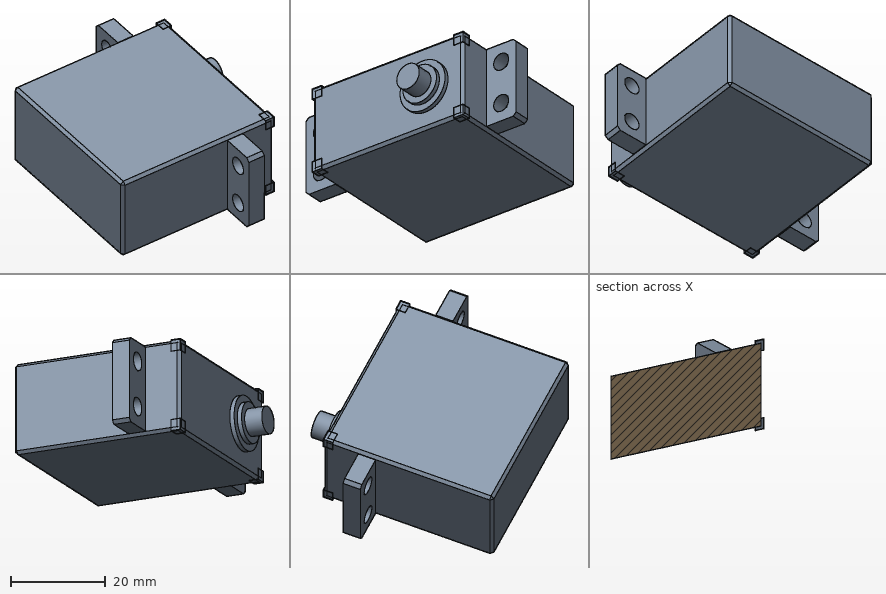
import cadquery as cq

CASE_X = 40.0
CASE_Y = 39.0
CASE_Z = 20.0
CASE_CHAMFER = 0.7
CASE_BACK = CASE_Y / 2

SPAN_X = 56.0
EAR_GAP = 0.1
EAR_LENGTH = (SPAN_X - CASE_X) / 2 - EAR_GAP
EAR_THICKNESS = 4.0
EAR_HEIGHT = 18.7
EAR_SETBACK = 8.0
EAR_Y = CASE_BACK - EAR_SETBACK - EAR_THICKNESS / 2
EAR_CHAMFER = 0.8
EAR_HOLE_DIAMETER = 4.0
EAR_HOLE_SPACING_X = 48.0
EAR_HOLE_SPACING_Z = 10.0

CAP_THICKNESS = 0.1
CAP_X = 2.5
CAP_Y = 2.2
CAP_Z = 2.5

SHAFT_X = -10.0
SHAFT_DIAMETER = 6.0
SHAFT_LENGTH = 6.05
STEP_LENGTH = 1.0
LARGE_STEP_DIAMETER = 12.0
SMALL_STEP_DIAMETER = 8.95


def case_box():
    """Case envelope before its edges are chamfered."""
    return cq.Workplane("XY").box(CASE_X, CASE_Y, CASE_Z)


def make_corner_caps():
    """Four corner blocks, hollowed by the square case envelope."""
    center_x = CASE_X / 2 + CAP_THICKNESS - CAP_X / 2
    center_y = CASE_BACK + CAP_THICKNESS - CAP_Y / 2
    center_z = CASE_Z / 2 + CAP_THICKNESS - CAP_Z / 2
    blocks = (
        cq.Workplane("XZ", origin=(0, center_y, 0))
        .rarray(2 * center_x, 2 * center_z, 2, 2)
        .box(CAP_X, CAP_Z, CAP_Y)
    )
    return blocks.cut(case_box())


def make_output():
    """Shaft and its two steps, turned from one profile about the Y direction."""
    profile = (
        cq.Workplane("YZ", origin=(SHAFT_X, CASE_BACK, 0))
        .lineTo(0, LARGE_STEP_DIAMETER / 2)
        .lineTo(STEP_LENGTH, LARGE_STEP_DIAMETER / 2)
        .lineTo(STEP_LENGTH, SMALL_STEP_DIAMETER / 2)
        .lineTo(2 * STEP_LENGTH, SMALL_STEP_DIAMETER / 2)
        .lineTo(2 * STEP_LENGTH, SHAFT_DIAMETER / 2)
        .lineTo(SHAFT_LENGTH, SHAFT_DIAMETER / 2)
        .lineTo(SHAFT_LENGTH, 0)
        .close()
    )
    return profile.revolve(360, (0, 0, 0), (1, 0, 0))


def make_housing():
    """Chamfered case carrying the corner caps and the stepped output shaft."""
    case = case_box().edges().chamfer(CASE_CHAMFER)
    return case.union(make_corner_caps()).union(make_output())


def make_ear(side):
    """Ear plate on one side (-1 or +1) with chamfered outer corners and two holes."""
    center_x = side * (SPAN_X - EAR_LENGTH) / 2
    plate = cq.Workplane("XY").box(EAR_LENGTH, EAR_THICKNESS, EAR_HEIGHT)
    outer_face = ">X" if side > 0 else "<X"
    plate = plate.faces(outer_face).edges("|Y").chamfer(EAR_CHAMFER)
    hole_x = side * EAR_HOLE_SPACING_X / 2 - center_x
    holes = (
        cq.Workplane("XZ")
        .pushPoints([(hole_x, end * EAR_HOLE_SPACING_Z / 2) for end in (-1, 1)])
        .circle(EAR_HOLE_DIAMETER / 2)
        .extrude(EAR_THICKNESS, both=True)
    )
    return plate.cut(holes).translate((center_x, EAR_Y, 0))


housing = make_housing()
ears = [make_ear(side) for side in (-1, 1)]

result = cq.Compound.makeCompound([housing.val(), *[ear.val() for ear in ears]])